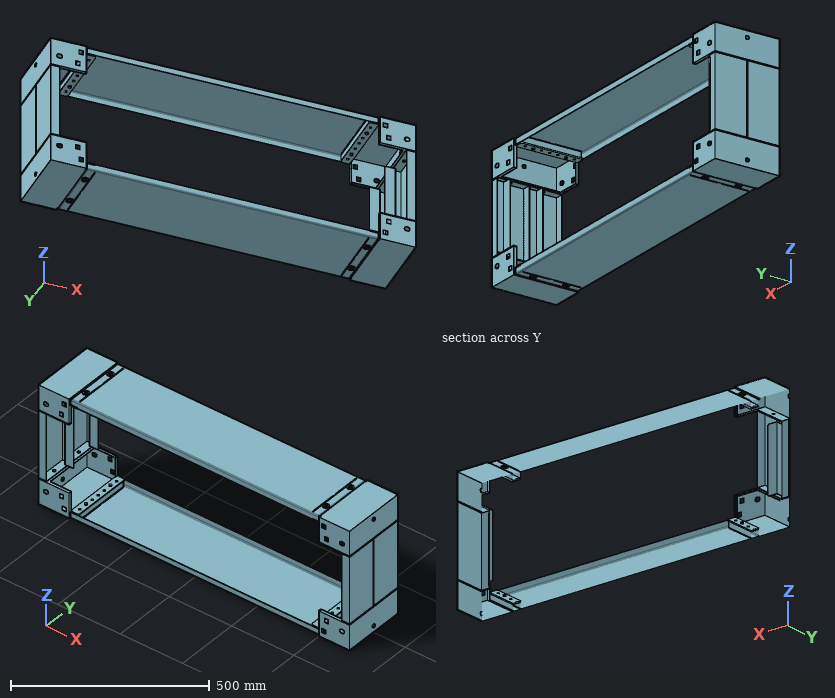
import cadquery as cq
LENGTH = 1000.0
DEPTH = 200.0
HEIGHT = 378.0
SHEET = 2.0
MID_HEIGHT = HEIGHT / 2

CORNER_LENGTH = 100.0
CORNER_HEIGHT = 82.0
SIDE_LIP = 10.0
END_LIP = 32.0
SQUARE_HOLE = 12.0
SQUARE_HOLES = [(84.0, 24.0), (75.0, 60.0)]
SLOT_LENGTH = 15.0
SLOT_HEIGHT = 12.0
SLOT_FROM_END = 25.0
SLOT_FROM_PLATE = 51.0
END_HOLE_DIAMETER = 11.0
END_HOLE_FROM_PLATE = 21.0

TRAY_END_GAP = 1.0
TRAY_SIDE_INSET = 3.0
TRAY_PLATE_INSET = 1.0
TRAY_LENGTH = LENGTH - 2 * (CORNER_LENGTH + TRAY_END_GAP)
TRAY_WIDTH = DEPTH - 2 * TRAY_SIDE_INSET
TRAY_HEIGHT = 20.0
BEND_RADIUS = 3.0
INNER_BEND_RADIUS = BEND_RADIUS - SHEET

STRIP_WIDTH = 26.0
STRIP_LENGTH = 190.0
STRIP_TOP = 23.0
STRIP_CORNER_RADIUS = 6.0
STRIP_HOLE_DIAMETER = 6.0
STRIP_HOLES_Y = [-75.0, -25.0, 0, 25.0, 75.0]
TAB_SLOT_WIDTH = 2.0
TAB_SLOT_LENGTH = 81.0
TAB_SLOT_DEPTH = 1.0
TAB_SLOT_GAP = 14.0
NUT_Y = 50.0
NUT_FROM_END = 14.0
NUT_DIAMETER = 8.0
NUT_BORE = 6.0
NUT_HEIGHT = 3.0
SLEEVE_DIAMETER = 19.0
COUNTERSINK_DIAMETER = 18.0
COUNTERSINK_FLOOR = 11.0
COUNTERSINK_DEPTH = 2.0

COVER_GAP = 0.5
COVER_WIDTH = DEPTH / 2 - 2 * COVER_GAP
COVER_HEIGHT = HEIGHT - 2 * CORNER_HEIGHT
COVER_FLANGE = 26.0
COVER_HOLE_DIAMETER = 8.0
COVER_HOLE_FROM_FACE = 13.0
RAIL_INSET = 20.0
RAIL_DEPTH = 54.0
RAIL_HEIGHT = 196.0
RAIL_CHAMFER = 3.0


def block(x0, x1, y0, y1, z0, z1):
    """Axis-aligned block between opposite corners."""
    return cq.Workplane("XY").box(x1 - x0, y1 - y0, z1 - z0, centered=False).translate((x0, y0, z0))


def upright_cylinder(diameter, x, y, z0, z1):
    return cq.Workplane("XY", origin=(x, y, z0)).circle(diameter / 2).extrude(z1 - z0)


def corner_box():
    """Open box at the -X, bottom corner: plate, end wall, two side walls and lips."""
    x_out = -LENGTH / 2
    x_in = x_out + CORNER_LENGTH
    y_out = DEPTH / 2
    lip_z = CORNER_HEIGHT - SHEET

    box = block(x_out, x_in, -y_out, y_out, 0, CORNER_HEIGHT)
    box = box.cut(block(x_out + SHEET, x_in - SHEET, -y_out + SHEET, y_out - SHEET, SHEET, lip_z))
    lip_y = y_out - SIDE_LIP
    box = box.cut(block(x_out + END_LIP, x_in, -lip_y, lip_y, lip_z, CORNER_HEIGHT))
    box = box.cut(block(x_in - SHEET, x_in, -lip_y, lip_y, SHEET, CORNER_HEIGHT))

    side = cq.Workplane("XZ", origin=(0, y_out, 0))
    squares = [(x_out + from_end, from_plate) for from_end, from_plate in SQUARE_HOLES]
    box = box.cut(side.pushPoints(squares).rect(SQUARE_HOLE, SQUARE_HOLE).extrude(DEPTH))
    slot = side.center(x_out + SLOT_FROM_END, SLOT_FROM_PLATE).slot2D(SLOT_LENGTH, SLOT_HEIGHT)
    box = box.cut(slot.extrude(DEPTH))

    end_hole = cq.Workplane("YZ", origin=(x_out, 0, END_HOLE_FROM_PLATE)).circle(END_HOLE_DIAMETER / 2)
    return box.cut(end_hole.extrude(SHEET))


def mounting_strip():
    """Strip with its holes and inner wall at the -X end of the bottom tray."""
    x_end = -TRAY_LENGTH / 2
    x_wall = x_end + STRIP_WIDTH
    strip = block(x_end, x_wall, -STRIP_LENGTH / 2, STRIP_LENGTH / 2, TRAY_HEIGHT - SHEET, STRIP_TOP)
    strip = strip.edges("|Z").fillet(STRIP_CORNER_RADIUS)
    for y in STRIP_HOLES_Y:
        strip = strip.cut(upright_cylinder(STRIP_HOLE_DIAMETER, x_end + NUT_FROM_END, y, 0, STRIP_TOP))
    half_wall = STRIP_LENGTH / 2 - STRIP_CORNER_RADIUS
    strip = strip.union(block(x_wall - SHEET, x_wall, -half_wall, half_wall, SHEET / 2, STRIP_TOP))
    return strip


def tab_slots():
    """Slots in the underside at the -X end of the bottom tray, where the strip's wall meets the plate."""
    x_slot = -TRAY_LENGTH / 2 + STRIP_WIDTH - TAB_SLOT_WIDTH
    y0 = TAB_SLOT_GAP / 2
    slot = block(x_slot, x_slot + TAB_SLOT_WIDTH, y0, y0 + TAB_SLOT_LENGTH, 0, TAB_SLOT_DEPTH)
    return slot.union(slot.mirror("XZ"))


def nut_insert(x, y):
    """Sleeve from the tray plate through the strip, closed by a nut cap above the strip."""
    sleeve = upright_cylinder(SLEEVE_DIAMETER, x, y, 0, STRIP_TOP)
    return sleeve.union(upright_cylinder(NUT_DIAMETER, x, y, STRIP_TOP, STRIP_TOP + NUT_HEIGHT))


def nut_bore(x, y):
    """Countersink in the tray plate and the blind bore of a nut insert."""
    countersink = cq.Workplane("XY", origin=(x, y, 0)).circle(COUNTERSINK_DIAMETER / 2)
    countersink = countersink.workplane(offset=COUNTERSINK_DEPTH).circle(COUNTERSINK_FLOOR / 2).loft()
    return countersink.union(upright_cylinder(NUT_BORE, x, y, 0, STRIP_TOP))


def long_tray():
    """Bottom tray: folded plate with flanges up and a mounting strip at each end."""
    half_x = TRAY_LENGTH / 2
    half_y = TRAY_WIDTH / 2
    tray = block(-half_x, half_x, -half_y, half_y, 0, TRAY_HEIGHT)
    tray = tray.edges("<Z").fillet(BEND_RADIUS)
    inner = block(-half_x + SHEET, half_x - SHEET, -half_y + SHEET, half_y - SHEET, SHEET, TRAY_HEIGHT)
    tray = tray.cut(inner.edges("<Z").fillet(INNER_BEND_RADIUS))

    strip = mounting_strip()
    slots = tab_slots()
    tray = tray.union(strip).union(strip.mirror("YZ"))
    tray = tray.cut(slots).cut(slots.mirror("YZ"))

    x_nut = half_x - NUT_FROM_END
    for x in (-x_nut, x_nut):
        for y in (-NUT_Y, NUT_Y):
            tray = tray.union(nut_insert(x, y)).cut(nut_bore(x, y))
    return tray


def end_cover():
    """Cover at the -X end, on the +Y half: shallow pan with a stepped rail on its +Y flange."""
    x_face = -LENGTH / 2
    y0 = COVER_GAP
    y1 = y0 + COVER_WIDTH
    z0 = MID_HEIGHT - COVER_HEIGHT / 2
    z1 = MID_HEIGHT + COVER_HEIGHT / 2
    x_flange = x_face + COVER_FLANGE

    cover = block(x_face, x_flange, y0, y1, z0, z1)
    cover = cover.cut(block(x_face + SHEET, x_flange, y0 + SHEET, y1 - SHEET, z0 + SHEET, z1 - SHEET))
    y_mid = (y0 + y1) / 2
    cover = cover.cut(upright_cylinder(COVER_HOLE_DIAMETER, x_face + COVER_HOLE_FROM_FACE, y_mid, z0, z1))

    rail_z0 = MID_HEIGHT - RAIL_HEIGHT / 2
    rail_z1 = MID_HEIGHT + RAIL_HEIGHT / 2
    y_rail = y1 - RAIL_INSET
    step = block(x_flange - SHEET, x_flange, y_rail, y1, rail_z0, rail_z1)
    rail = block(x_flange - SHEET, x_face + RAIL_DEPTH, y_rail - SHEET, y_rail, rail_z0, rail_z1)
    rail = rail.edges("|Y and >X").chamfer(RAIL_CHAMFER)
    return cover.union(step).union(rail)


def mirrored_top(body):
    return body.mirror("XY", (0, 0, MID_HEIGHT))


bottom_corner = corner_box()
corners = []
for corner in (bottom_corner, mirrored_top(bottom_corner)):
    corners += [corner.val(), corner.mirror("YZ").val()]

bottom_tray = long_tray().translate((0, 0, TRAY_PLATE_INSET))
trays = [bottom_tray.val(), mirrored_top(bottom_tray).val()]

first_cover = end_cover()
covers = []
for y_shift in (0, -DEPTH / 2):
    cover = first_cover.translate((0, y_shift, 0))
    covers += [cover.val(), cover.mirror("YZ").val()]

result = cq.Compound.makeCompound([*corners, *trays, *covers])